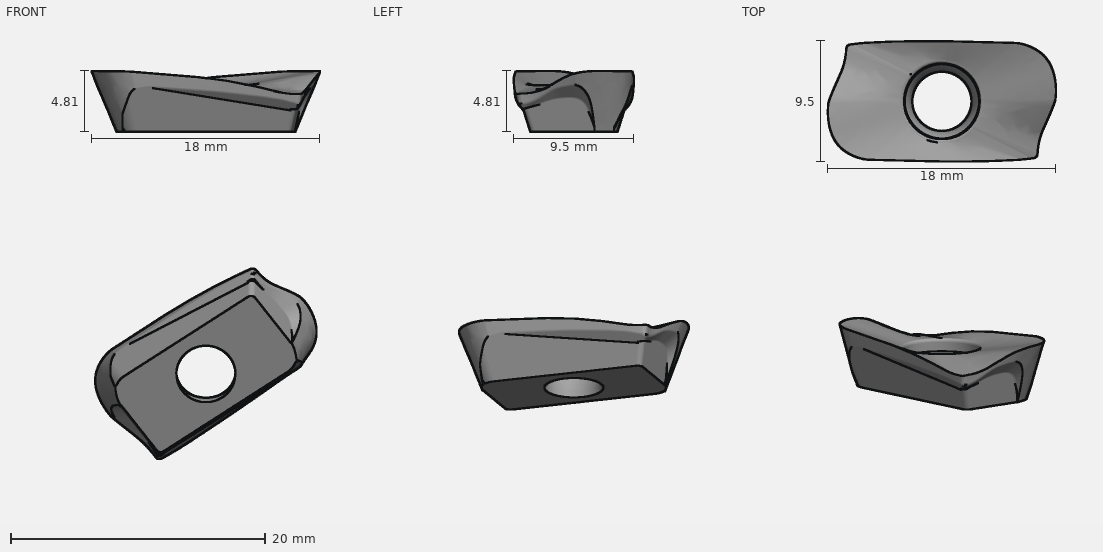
import cadquery as cq
import math


nose_height = 4.78
corner_height = 2.97
side_start = (-5.85, -4.6, 4.75)
side_end = (7.1, -4.5, corner_height)
corner_end = (7.53, -4.12, corner_height + 0.05)
end_top = (8.94, 0.1, 4.62)
nose_end = (-side_start[0], -side_start[1], side_start[2])
rim_half = [
    [
        side_start,
        (-2.52, -4.7, 4.5),
        (1.0, -4.75, 4.12),
        (4.5, -4.7, 3.43),
        (5.93, -4.62, 3.1),
        side_end,
    ],
    [side_end, (7.43, -4.37, corner_height + 0.02), corner_end],
    [corner_end, (7.65, -3.27, 3.1), (7.8, -2.66, 3.25), (8.25, -1.58, 3.81), (8.72, -0.5, 4.4), end_top],
    [end_top, (8.97, 1.22, nose_height), (8.16, 3.45, nose_height), (6.94, 4.32, nose_height), nose_end],
]

foot_side_start = (-4.85, -4.28, 0)
foot_side_end = (6.92, -4.23, 0)
foot_corner_end = (7.28, -3.9, 0)
foot_end_top = (7.12, 0.1, 0)
foot_nose_end = (-foot_side_start[0], -foot_side_start[1], 0)
foot_half = [
    [foot_side_start, (0, -4.4, 0), foot_side_end],
    [foot_side_end, (7.2, -4.12, 0), foot_corner_end],
    [foot_corner_end, (7.25, -1.8, 0), foot_end_top],
    [foot_end_top, (7.08, 1.25, 0), (6.87, 2.34, 0), (6.47, 3.15, 0), (5.85, 3.85, 0), foot_nose_end],
]

ring_radius = 3.25
ring_height = 3.69
ring_angles = [-138.4, -41.5, -38.0, 0.0, 41.6]

hole_radius = 2.32
counterbore_radius = 2.98
counterbore_bottom = 2.7
throat_height = 0.6
flare_radius = 3.95

core_half_width = 3.43
core_end_by_corner = 6.69
core_end_by_nose = 7.08
core_nose_radius = 1.62
core_corner_radius = 0.45
core_side_draft = 17.5
core_end_draft = 13.5
core_height = 3.95

side_outer_y, side_inner_y, side_deepest_y = -4.95, -3.95, -3.15
side_pocket_start = -6.56
roof_slope = 0.095
side_outer_roof, side_inner_roof = 4.23, 2.93
pocket_reach = 10.79
pocket_floor = -0.18
end_outer_x, end_inner_x, end_deepest_x = -8.9, -7.2, -6.65
end_outer_skew = 0.27
end_outer_roof = [(5.4, 2.52), (3.05, 2.93), (1.9, 3.6), (0.36, 3.95), (-0.72, 4.05), (-1.62, 3.6), (-2.34, 2.15), (-2.7, 0.9)]
end_inner_roof = [(4.32, 1.67), (3.05, 2.07), (1.9, 2.28), (0.36, 2.4), (-0.54, 2.2), (-1.17, 1.53), (-1.44, 0.9), (-1.62, 0.36)]

lip_fillet = 0.27
root_fillet = 0.22

end_lip_x, end_root_x, end_edge_y = (7.73, 8.99), (6.83, 7.55), (0, 3.6)
side_lip_x, side_lip_y = (0, 3.6), (4.42, 4.85)
lip_z, root_z = (2.01, 3.78), (0.72, 2.88)
shortest_end_lip, shortest_end_root, shortest_side_lip = 3.6, 4.5, 7.2


def half_turn(shape):
    return shape.rotate((0, 0, 0), (0, 0, 1), 180)


def opposite(point):
    x, y, z = point
    return (-x, -y, z)


def closed_outline(half):
    """Closed wire through one half outline and its half-turn copy."""
    stretches = half + [[opposite(p) for p in stretch] for stretch in half]
    edges = [cq.Edge.makeSpline([cq.Vector(*p) for p in stretch]) for stretch in stretches]
    return cq.Wire.assembleEdges(edges)


def ring_point(angle):
    a = math.radians(angle)
    return cq.Vector(ring_radius * math.cos(a), ring_radius * math.sin(a), ring_height)


def ring_wire():
    edges = []
    for turn in (0, 180):
        for a, b in zip(ring_angles, ring_angles[1:]):
            arc = (ring_point(a + turn), ring_point((a + b) / 2 + turn), ring_point(b + turn))
            edges.append(cq.Edge.makeThreePointArc(*arc))
    return cq.Wire.assembleEdges(edges)


def flanks_and_chip_face():
    sections = [closed_outline(foot_half), closed_outline(rim_half), ring_wire()]
    return cq.Workplane(cq.Solid.makeLoft(sections, ruled=True))


def core_corners(height):
    """Corners of the core's skewed rectangle at one height; its sides keep their directions."""
    side_growth = height * math.tan(math.radians(core_side_draft))
    end_growth = height * math.tan(math.radians(core_end_draft))
    end_skew = (core_end_by_nose - core_end_by_corner) / (2 * core_half_width)
    half_width = core_half_width + side_growth
    corner_x = core_end_by_corner + end_growth - end_skew * side_growth
    nose_x = core_end_by_nose + end_growth + end_skew * side_growth
    corners = [(-nose_x, -half_width), (corner_x, -half_width), (nose_x, half_width), (-corner_x, half_width)]
    return [cq.Vector(x, y, height) for x, y in corners]


def core():
    bottom, top = core_corners(0), core_corners(core_height)
    outlines = [bottom, top]
    for i in range(len(bottom)):
        outlines.append([bottom[i - 1], bottom[i], top[i], top[i - 1]])
    faces = [cq.Face.makeFromWires(cq.Wire.makePolygon(outline, close=True)) for outline in outlines]
    block = cq.Workplane(cq.Solid.makeSolid(cq.Shell.makeShell(faces)))

    def upright_edges(solid, side):
        """Slanted upright edges at the nose (side 1) or at the low corner (side -1)."""
        upright = solid.edges().filter(lambda edge: edge.BoundingBox().zlen > core_height / 2)
        return upright.filter(lambda edge: edge.Center().x * edge.Center().y * side > 0)

    block = upright_edges(block, -1).fillet(core_corner_radius)
    return upright_edges(block, 1).fillet(core_nose_radius)


def side_profile(y, roof):
    """Side pocket section, under a roof that falls along X from the given start height."""
    end_roof = roof - roof_slope * (pocket_reach - side_pocket_start)
    points = [
        (side_pocket_start, pocket_floor),
        (side_pocket_start, roof),
        (pocket_reach, end_roof),
        (pocket_reach, pocket_floor),
    ]
    return cq.Wire.makePolygon([cq.Vector(x, y, z) for x, z in points], close=True)


def side_pocket():
    profiles = [
        side_profile(side_outer_y, side_outer_roof),
        side_profile(side_inner_y, side_inner_roof),
        side_profile(side_deepest_y, side_inner_roof),
    ]
    return cq.Workplane(cq.Solid.makeLoft(profiles, ruled=True))


def end_profile(middle_x, skew, roof):
    """Upright pocket section whose plane leans away from the Y direction by the skew."""
    points = [cq.Vector(middle_x + skew * y, y, z) for y, z in roof]
    first = cq.Vector(points[0].x, points[0].y, pocket_floor)
    last = cq.Vector(points[-1].x, points[-1].y, pocket_floor)
    edges = [
        cq.Edge.makeSpline(points),
        cq.Edge.makeLine(points[-1], last),
        cq.Edge.makeLine(last, first),
        cq.Edge.makeLine(first, points[0]),
    ]
    return cq.Wire.assembleEdges(edges)


def end_pocket():
    profiles = [
        end_profile(end_outer_x, end_outer_skew, end_outer_roof),
        end_profile(end_inner_x, 0, end_inner_roof),
        end_profile(end_deepest_x, 0, end_inner_roof),
    ]
    return cq.Workplane(cq.Solid.makeLoft(profiles, ruled=True))


def screw_hole():
    """Throat, convex flare tangent to it, counterbore and rounded lip."""
    flare_angle = math.asin((counterbore_bottom - throat_height) / flare_radius)

    def flare_point(angle):
        radius = hole_radius + flare_radius * (1 - math.cos(angle))
        return (radius, throat_height + flare_radius * math.sin(angle))

    lip_radius = ring_radius - counterbore_radius
    lip_bottom = ring_height - lip_radius
    lip_offset = lip_radius * math.sqrt(0.5)
    lip_middle = (ring_radius - lip_offset, lip_bottom + lip_offset)
    profile = (
        cq.Workplane("XZ")
        .lineTo(hole_radius, 0)
        .lineTo(hole_radius, throat_height)
        .threePointArc(flare_point(flare_angle / 2), flare_point(flare_angle))
        .lineTo(counterbore_radius, counterbore_bottom)
        .lineTo(counterbore_radius, lip_bottom)
        .threePointArc(lip_middle, (ring_radius, ring_height))
        .lineTo(ring_radius, nose_height)
        .lineTo(0, nose_height)
        .close()
    )
    return profile.revolve(360, (0, 0, 0), (0, 1, 0))


def edges_within(solid, x_range, y_range, z_range, shortest):
    """Edges longer than the shortest, with middle |x| and |y| and full height inside the ranges."""
    def fits(edge):
        middle = edge.Center()
        box = edge.BoundingBox()
        return (
            edge.Length() > shortest
            and x_range[0] < abs(middle.x) < x_range[1]
            and y_range[0] < abs(middle.y) < y_range[1]
            and z_range[0] < box.zmin
            and box.zmax < z_range[1]
        )

    return solid.edges().filter(fits)


def round_end_lips(solid):
    return edges_within(solid, end_lip_x, end_edge_y, lip_z, shortest_end_lip).fillet(lip_fillet)


def round_side_lips(solid):
    return edges_within(solid, side_lip_x, side_lip_y, lip_z, shortest_side_lip).fillet(lip_fillet)


def round_end_roots(solid):
    return edges_within(solid, end_root_x, end_edge_y, root_z, shortest_end_root).fillet(root_fillet)


relief = side_pocket().union(end_pocket()).cut(core())
body = flanks_and_chip_face().cut(relief).cut(half_turn(relief))
body = round_end_roots(round_side_lips(round_end_lips(body)))
result = body.cut(screw_hole())